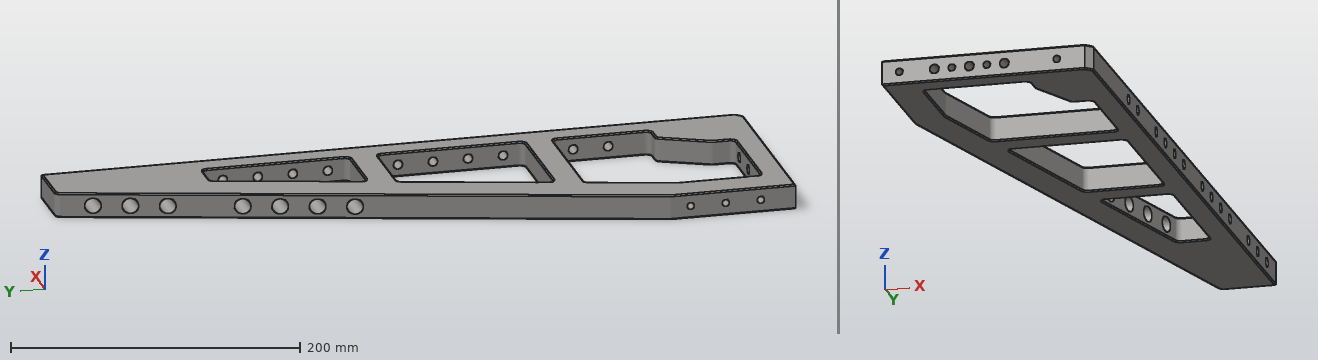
import cadquery as cq
import math

length = 500.0
width = 150.0
thickness = 18.0
mid_z = thickness / 2

taper = math.tan(math.radians(15))
taper_start_y = 89.5
corner_radius = 5.0
corner_chamfer = 5.0
edge_break = 1.0

rail = 18.0
side_rail = 25.0
slope_rail = 28.0
window_right = width - rail

window_spans = [(285.0, 390.0), (160.0, 265.0)]
base_window_top = 140.0
window_radius = 4.0

gusset_left = 100.5
gusset_shoulder_x = 117.0
gusset_slope_start_y = 34.0
gusset_top = 70.0

screw_diameter = 6.5
access_diameter = 11.0
tapped_diameter = 5.0
drill_point_angle = 118.0
through_hole_diameter = 6.5
blind_depth = 12.5
access_hole_ys = [300.0, 325.0, 350.0, 375.0, 425.0, 450.0, 475.0]
rail_hole_ys = [100.0, 125.0, 175.0, 200.0, 225.0, 250.0]
left_hole_ys = [25.0, 50.0, 75.0]
through_hole_xs = [37.5, 62.5, 87.5]
base_tapped_xs = [12.5, 50.0, 75.0, 125.0]


def outer_slope_x(y):
    """X of the sloped outer edge at height y."""
    return (y - taper_start_y) * taper


def inner_slope_x(y):
    """X of the sloped window edge at height y."""
    return outer_slope_x(y) + slope_rail


def prism(points):
    """Closed outline extruded through the plate thickness."""
    return cq.Workplane("XY").polyline(points).close().extrude(thickness)


def vertical_edge_at(x, y):
    """Selector for the upright edge standing at (x, y)."""
    reach = 0.5
    return cq.selectors.BoxSelector(
        (x - reach, y - reach, -reach), (x + reach, y + reach, thickness + reach)
    )


def make_plate():
    tip_x = outer_slope_x(length)
    plate = prism([(0, 0), (width, 0), (width, length), (tip_x, length), (0, taper_start_y)])
    plate = plate.edges(vertical_edge_at(tip_x, length)).fillet(corner_radius)
    plate = plate.edges(vertical_edge_at(0, taper_start_y)).fillet(corner_radius)
    return plate.edges(vertical_edge_at(width, 0)).chamfer(corner_chamfer)


def trapezoid_window(bottom, top):
    window = prism([
        (inner_slope_x(bottom), bottom),
        (window_right, bottom),
        (window_right, top),
        (inner_slope_x(top), top),
    ])
    return window.edges("|Z").fillet(window_radius)


def base_window():
    kink_y = taper_start_y + (side_rail - slope_rail) / taper
    window = prism([
        (side_rail, rail),
        (gusset_left, rail),
        (gusset_left, gusset_slope_start_y),
        (gusset_shoulder_x, gusset_top),
        (window_right, gusset_top),
        (window_right, base_window_top),
        (inner_slope_x(base_window_top), base_window_top),
        (side_rail, kink_y),
    ])
    return window.edges("|Z").fillet(window_radius)


def hole_along_x(y, diameter, start_x, end_x):
    return cq.Workplane("YZ", origin=(start_x, y, mid_z)).circle(diameter / 2).extrude(end_x - start_x)


def hole_along_y(x, diameter, depth):
    return cq.Workplane("XZ", origin=(x, 0, mid_z)).circle(diameter / 2).extrude(-depth)


def drill_point(tip_base, direction):
    """Cone left by the drill at the bottom of a blind hole."""
    radius = tapped_diameter / 2
    height = radius / math.tan(math.radians(drill_point_angle / 2))
    cone = cq.Solid.makeCone(radius, 0, height, cq.Vector(tip_base), cq.Vector(direction))
    return cq.Workplane(cone)


def blind_hole_along_x(y):
    bore = hole_along_x(y, tapped_diameter, 0, blind_depth)
    return bore.union(drill_point((blind_depth, y, mid_z), (1, 0, 0)))


def blind_hole_along_y(x):
    bore = hole_along_y(x, tapped_diameter, blind_depth)
    return bore.union(drill_point((x, blind_depth, mid_z), (0, 1, 0)))


result = make_plate().cut(base_window())
for span in window_spans:
    result = result.cut(trapezoid_window(*span))
result = result.faces("<Z or >Z").edges().chamfer(edge_break)

for y in access_hole_ys + rail_hole_ys:
    result = result.cut(hole_along_x(y, screw_diameter, window_right, width))
for y in access_hole_ys:
    result = result.cut(hole_along_x(y, access_diameter, 0, window_right))

for y in left_hole_ys:
    result = result.cut(blind_hole_along_x(y))
for x in base_tapped_xs:
    result = result.cut(blind_hole_along_y(x))

for x in through_hole_xs:
    result = result.cut(hole_along_y(x, through_hole_diameter, rail))